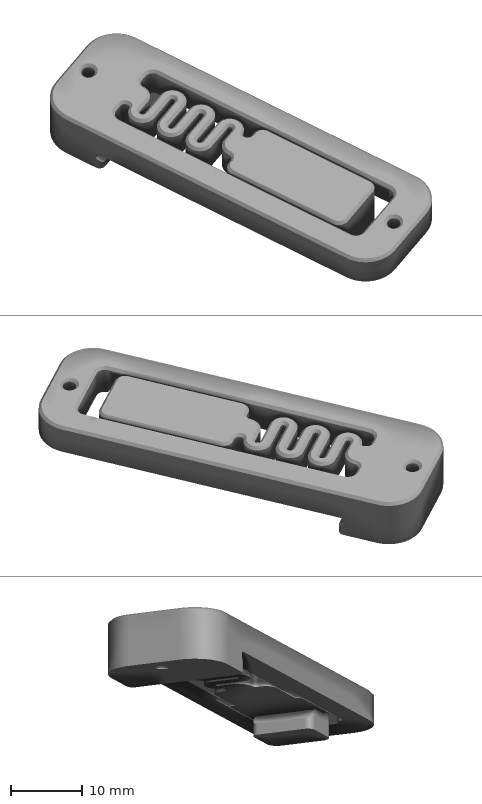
import cadquery as cq

length = 56.9
width = 18.0
height = 7.6
corner_radius = 4.95
underside_z = 3.1
top_chamfer = 0.4

hole_diameter = 1.9
hole_x = 25.6

notch_x = -18.5
notch_fillet = 0.3
fixed_hook_reach = 0.95
fixed_hook_edge_z = 1.15
foot_left_x = 13.1
foot_corner_radius = 1.1
foot_hook_edge_z = 1.6

opening_left_x = notch_x
opening_right_x = 22.95
opening_width = 9.95
opening_corner_radius = 1.25
wall_relief_radius = 0.8
bend_relief_radius = 0.4

land_x = -17.65
neck_x = -0.8
turns_per_side = 3
arm_width = 1.6
arm_pitch = (neck_x - land_x) / (2 * turns_per_side + 1)
arm_gap = arm_pitch - arm_width
spring_x = (land_x + neck_x) / 2
first_bend_x = land_x + arm_pitch
inner_bend_radius = arm_gap / 2
outer_bend_radius = inner_bend_radius + arm_width
bend_y = outer_bend_radius

paddle_left_x = 2 * spring_x - opening_left_x
paddle_right_x = 20.0
paddle_width = 9.45
paddle_corner_radius = 1.5

tongue_left_x = 7.9
tongue_right_x = 17.1
tongue_reach = 0.85
guide_roof_z = 6.65
pocket_end_gap = 4.5
pocket_corner_radius = 0.7
slide_gap = (opening_width - paddle_width) / 2


def block(x0, x1, y0, y1, z0=underside_z, z1=height):
    """Box between the given limits."""
    return cq.Workplane("XY").box(x1 - x0, y1 - y0, z1 - z0, centered=False).translate((x0, y0, z0))


def disc(x, y, radius):
    """Round slug through the frame thickness."""
    return cq.Workplane("XY", origin=(x, y, underside_z)).circle(radius).extrude(height - underside_z)


def hook_relief(edge_x, edge_z, direction, top_z):
    """Wedge that slopes a hook's top at 45 degrees, rising from its edge to top_z."""
    rise = top_z - edge_z
    profile = [(edge_x, edge_z), (edge_x, top_z), (edge_x + direction * rise, top_z)]
    return cq.Workplane("XZ").polyline(profile).close().extrude(width / 2, both=True)


def body():
    """Rounded bar, stepped underneath, with the fixed hook at the notch."""
    half_length = length / 2
    bar = block(-half_length, half_length, -width / 2, width / 2, 0)
    bar = bar.edges("|Z").fillet(corner_radius)
    notch = block(notch_x, half_length, -width / 2, width / 2, 0, underside_z)
    notch = notch.edges("<X and >Z").fillet(notch_fillet)
    hook_x = notch_x + fixed_hook_reach
    hook_top_z = fixed_hook_edge_z + fixed_hook_reach
    hook = block(notch_x - fixed_hook_reach, hook_x, -width / 2, width / 2, 0, hook_top_z)
    hook = hook.edges("|Z and >X").fillet(fixed_hook_reach)
    hook = hook.cut(hook_relief(hook_x, fixed_hook_edge_z, -1, hook_top_z))
    return bar.cut(notch).union(hook)


def spring_half():
    """Left land and the lower half turns with their arms."""
    radius = outer_bend_radius
    half = block(opening_left_x, land_x, -radius, radius)
    half = half.union(disc(land_x, 0, radius))
    half = half.union(block(land_x, first_bend_x - inner_bend_radius, -bend_y, 0))
    for turn in range(turns_per_side):
        x = first_bend_x + 2 * turn * arm_pitch
        ring = disc(x, -bend_y, radius).cut(disc(x, -bend_y, inner_bend_radius))
        half = half.union(ring.intersect(block(x - radius, x + radius, -bend_y - radius, -bend_y)))
        half = half.union(block(x + inner_bend_radius, x + radius, -bend_y, bend_y))
        if turn > 0:
            half = half.union(block(x - radius, x - inner_bend_radius, -bend_y, bend_y))
    return half


def paddle_plate(z0, z1):
    """Full-width rounded plate with the paddle's outline."""
    plate = block(paddle_left_x, paddle_right_x, -paddle_width / 2, paddle_width / 2, z0, z1)
    return plate.edges("|Z").fillet(paddle_corner_radius)


def opening():
    """Gap around the spring and the paddle, with rounded inner corners."""
    gap = block(opening_left_x, opening_right_x, -opening_width / 2, opening_width / 2)
    gap = gap.edges("|Z").fillet(opening_corner_radius)
    half = spring_half()
    other_half = half.rotate((spring_x, 0, 0), (spring_x, 0, 1), 180)
    gap = gap.cut(half.union(other_half)).cut(paddle_plate(underside_z, height)).clean()
    corner_y = outer_bend_radius
    reliefs = [
        (opening_left_x, corner_y, wall_relief_radius),
        (opening_left_x, -corner_y, wall_relief_radius),
        (first_bend_x - outer_bend_radius, -corner_y, bend_relief_radius),
    ]
    reliefs += [(2 * spring_x - x, -y, radius) for x, y, radius in reliefs]
    middle_z = (underside_z + height) / 2
    for x, y, radius in reliefs:
        corner = cq.selectors.NearestToPointSelector((x, y, middle_z))
        gap = gap.edges("|Z").edges(corner).fillet(radius)
    return gap


def guide(x0, x1, y0, reach, roof_z):
    """Rail along +Y open to the underside, with a 45 degree roof falling outwards from roof_z."""
    profile = [(y0, underside_z), (y0 + reach, underside_z), (y0 + reach, roof_z - reach), (y0, roof_z)]
    return cq.Workplane("YZ", origin=(x0, 0, 0)).polyline(profile).close().extrude(x1 - x0)


def both_sides(shape):
    """The shape together with its mirror image across the centre line."""
    return shape.union(shape.mirror("XZ"))


def pockets():
    """Guide pockets in the long walls of the opening."""
    x0 = tongue_left_x - pocket_end_gap
    x1 = tongue_right_x + pocket_end_gap
    pocket = guide(x0, x1, opening_width / 2, tongue_reach, guide_roof_z + slide_gap)
    outline = block(x0, x1, 0, opening_width / 2 + tongue_reach)
    outline = outline.edges("|Z and >Y").fillet(pocket_corner_radius)
    return both_sides(pocket.intersect(outline))


def tongues():
    """Guide tongues on the paddle sides."""
    return both_sides(guide(tongue_left_x, tongue_right_x, paddle_width / 2, tongue_reach, guide_roof_z))


def foot():
    """Block under the paddle carrying the moving hook."""
    shape = paddle_plate(0, underside_z)
    shape = shape.intersect(block(foot_left_x, paddle_right_x, -width / 2, width / 2, 0, underside_z))
    shape = shape.edges("|Z and <X").fillet(foot_corner_radius)
    return shape.cut(hook_relief(foot_left_x, foot_hook_edge_z, 1, underside_z))


def screw_holes():
    """Slugs for the through holes."""
    holes = cq.Workplane("XY").pushPoints([(-hole_x, 0), (hole_x, 0)])
    return holes.circle(hole_diameter / 2).extrude(height)


result = body().cut(opening()).cut(screw_holes())
result = result.faces(">Z").edges().chamfer(top_chamfer)
result = result.cut(pockets()).union(tongues()).union(foot())